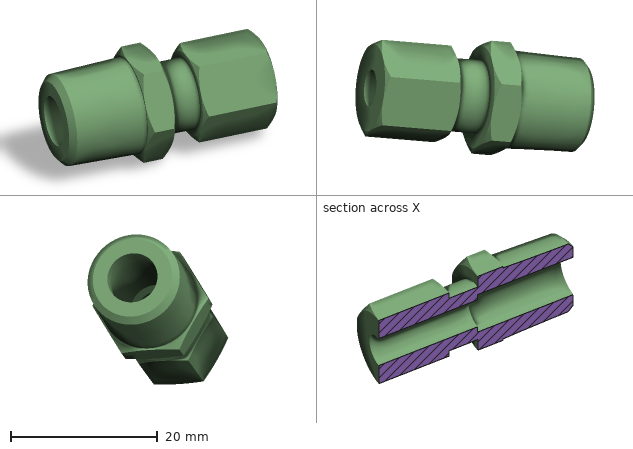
import cadquery as cq
import math

GAUGE_PLANE = 6.0
HEX_START = 11.0
HEX_END = 15.02
NUT_START = 19.5
LENGTH = 30.52

HEX_ACROSS_FLATS = 14.0
NUT_ACROSS_FLATS = 12.0
CORNER_CHAMFER_ANGLE = math.radians(30)

GAUGE_RADIUS = 6.6
TAPER = 1 / 32
END_CHAMFER_LENGTH = 0.82
END_FACE_RADIUS = 5.52

NECK_DIAMETER = 10.0
TUBE_BORE_DIAMETER = 5.0
BODY_BORE_DIAMETER = 7.0
BODY_BORE_DEPTH = HEX_END


def revolve_about_y(points):
    """Revolve a closed (radius, y) outline around the part axis."""
    return cq.Workplane("XY").polyline(points).close().revolve(360, (0, 0, 0), (0, 1, 0))


def cylinder(diameter, start, end):
    """Make a cylinder on the part axis between two Y stations."""
    radius = diameter / 2
    return revolve_about_y([(0, start), (radius, start), (radius, end), (0, end)])


def chamfered_hexagon(across_flats, start, end):
    """Make a hexagonal prism with conical corner chamfers on both ends."""
    flat_radius = across_flats / 2
    corner_radius = flat_radius / math.cos(math.radians(30))
    chamfer = (corner_radius - flat_radius) * math.tan(CORNER_CHAMFER_ANGLE)
    prism = (
        cq.Workplane("XZ", origin=(0, start, 0))
        .polygon(6, 2 * corner_radius)
        .extrude(start - end)
    )
    envelope = revolve_about_y([
        (0, start),
        (flat_radius, start),
        (corner_radius, start + chamfer),
        (corner_radius, end - chamfer),
        (flat_radius, end),
        (0, end),
    ])
    return prism.intersect(envelope)


def thread_radius(y):
    return GAUGE_RADIUS + (y - GAUGE_PLANE) * TAPER


def threaded_end():
    """Make the tapered shank with a chamfered end."""
    return revolve_about_y([
        (0, 0),
        (END_FACE_RADIUS, 0),
        (thread_radius(END_CHAMFER_LENGTH), END_CHAMFER_LENGTH),
        (thread_radius(HEX_START), HEX_START),
        (0, HEX_START),
    ])


fitting = (
    threaded_end()
    .union(chamfered_hexagon(HEX_ACROSS_FLATS, HEX_START, HEX_END))
    .union(cylinder(NECK_DIAMETER, HEX_END, NUT_START))
    .union(chamfered_hexagon(NUT_ACROSS_FLATS, NUT_START, LENGTH))
    .cut(cylinder(BODY_BORE_DIAMETER, 0, BODY_BORE_DEPTH))
    .cut(cylinder(TUBE_BORE_DIAMETER, 0, LENGTH))
)

result = fitting.translate((0, -LENGTH / 2, 0))